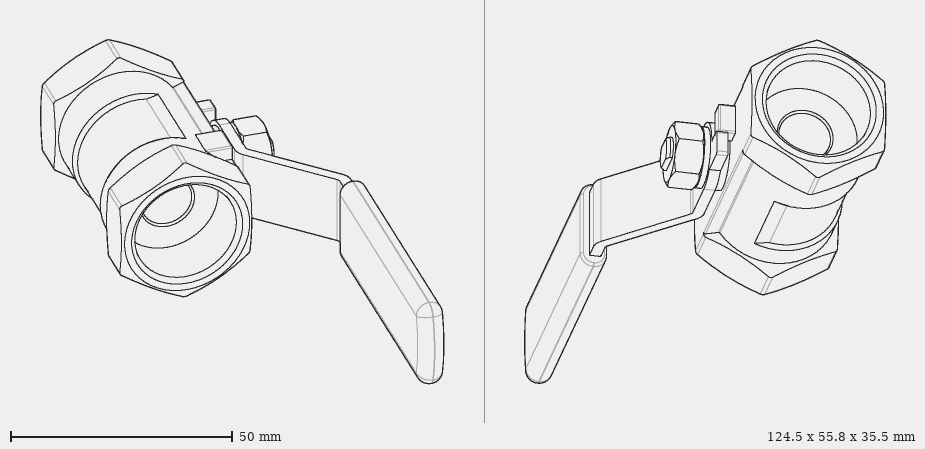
import cadquery as cq
import math


body_length = 59.0
hex_across_flats = 31.0
hex_length = 11.5
hex_corner_radius = 1.0
collar_diameter = 29.8
bevel_angle = 30.0

thread_diameter = 24.2
thread_depth = 14.3
mouth_chamfer = 1.1
bore_diameter = 12.0
bore_chamfer = 0.5

recess_depth = 0.9
recess_wall_run = 1.1
recess_start = -8.1
recess_end = 12.0
recess_edge_height = 13.8

pad_width = 16.9
boss_start = 7.7
boss_length = 7.7
boss_height = 11.8
cast_edge_radius = 0.4
stop_center = -10.3
stop_length = 4.2
stop_rise = 3.9
stop_bottom = 0.2
stop_top = 7.3

shoulder_diameter = 14.0
lever_gap = 1.9
washer_thickness = 1.4
nut_across_flats = 13.0
nut_height = 6.6
stem_diameter = 8.1
stem_flat_width = 5.2
stem_overhang = 1.4
stem_chamfer = 0.7

lever_thickness = 2.6
lever_width = 16.2
lever_rise = 18.3
lever_bend_start = 11.6
bend_angle = 45.0
bend_inner_radius = 1.2
tail_end = -13.2
tail_width = 6.0
tail_corner_radius = 0.6
grip_start = 35.6
lever_insertion = 6.2
grip_end = 95.0
grip_width = 21.0
grip_thickness = 6.1
grip_offset = 0.2
grip_end_radius = 31.1
grip_corner_radius = 3.0
grip_edge_radius = 3.0
grip_lip_radius = 0.6

half_body = body_length / 2
collar_radius = collar_diameter / 2
floor_radius = collar_radius - recess_depth
pad_top = hex_across_flats / 2
lever_bottom = pad_top + lever_gap
lever_top = lever_bottom + lever_thickness
lever_end = grip_start + lever_insertion
nut_bottom = lever_top + washer_thickness
nut_top = nut_bottom + nut_height
stem_top = nut_top + stem_overhang
grip_center_y = lever_bottom + lever_thickness / 2 + lever_rise + grip_offset


def block(x_min, x_max, y_min, y_max, z_min, z_max):
    """Box between the given limits."""
    size = (x_max - x_min, y_max - y_min, z_max - z_min)
    return cq.Workplane("XY").box(*size, centered=False).translate((x_min, y_min, z_min))


def cylinder_y(diameter, y_min, y_max):
    """Cylinder on the stem axis."""
    return cq.Workplane("XZ", origin=(0, y_min, 0)).circle(diameter / 2).extrude(y_min - y_max)


def revolve_x(points):
    """Solid of revolution about the pipe axis from (x, radius) points."""
    return cq.Workplane("XY").polyline(points).close().revolve(360, (0, 0, 0), (1, 0, 0))


def beveled_hexagon(across_flats, length, bevel_diameter, corner_radius=0):
    """Hexagonal prism on Z with corners toward X, both ends turned to a cone."""
    corner = across_flats / math.sqrt(3)
    prism = cq.Workplane("XY").polygon(6, 2 * corner).extrude(length)
    if corner_radius:
        prism = prism.edges("|Z").fillet(corner_radius)
    bevel_radius = bevel_diameter / 2
    bevel = (corner - bevel_radius) * math.tan(math.radians(bevel_angle))
    outline = [
        (0, 0),
        (bevel_radius, 0),
        (corner, bevel),
        (corner, length - bevel),
        (bevel_radius, length),
        (0, length),
    ]
    turned = cq.Workplane("XZ").polyline(outline).close().revolve(360, (0, 0, 0), (0, 1, 0))
    return prism.intersect(turned)


def end_hexagon(x_start):
    """Wrench hexagon of the housing, with flats toward +Y and -Y."""
    hexagon = beveled_hexagon(hex_across_flats, hex_length, collar_diameter, hex_corner_radius)
    return hexagon.rotate((0, 0, 0), (0, 1, 0), 90).translate((x_start, 0, 0))


def label_recess():
    """Ring cut with sloping end walls that leaves the stem side of the collar untouched."""
    outline = [
        (recess_start, collar_radius),
        (recess_start + recess_wall_run, floor_radius),
        (recess_end - recess_wall_run, floor_radius),
        (recess_end, collar_radius),
    ]
    ring = revolve_x(outline)
    uncut = block(recess_start, recess_end, 0, collar_radius, -recess_edge_height, recess_edge_height)
    return ring.cut(uncut)


def bores():
    """Stepped passage through the housing, the same from both ends."""
    thread_radius = thread_diameter / 2
    bore_radius = bore_diameter / 2
    step = half_body - thread_depth
    half_outline = [
        (half_body, thread_radius + mouth_chamfer),
        (half_body - mouth_chamfer, thread_radius),
        (step, thread_radius),
        (step, bore_radius + bore_chamfer),
        (step - bore_chamfer, bore_radius),
    ]
    mirrored = [(-x, radius) for x, radius in reversed(half_outline)]
    return revolve_x([(half_body, 0), *half_outline, *mirrored, (-half_body, 0)])


def collar_with_pad():
    """Round collar with a flat-topped pad and a side boss, blended together by small fillets."""
    half_length = half_body - hex_length / 2
    half_width = pad_width / 2
    collar = cq.Workplane("YZ", origin=(-half_length, 0, 0)).circle(collar_radius).extrude(2 * half_length)
    pad = block(-half_length, half_length, 0, pad_top, -half_width, half_width)
    pad = pad.edges(">Y and |X").fillet(cast_edge_radius)
    boss = block(boss_start, boss_start + boss_length, 0, pad_top, 0, boss_height)
    boss = boss.edges(">Y or (>Z and |Y)").fillet(cast_edge_radius)
    blended = collar.union(pad)
    pad_foot = math.sqrt(collar_radius**2 - half_width**2)
    for side in (-1, 1):
        foot = cq.selectors.NearestToPointSelector((0, pad_foot, side * half_width))
        blended = blended.edges(foot).fillet(cast_edge_radius)
    return blended.union(boss)


def stop_block():
    """Small block on the pad that limits the swing of the handle."""
    stop = block(
        stop_center - stop_length / 2,
        stop_center + stop_length / 2,
        pad_top,
        pad_top + stop_rise,
        stop_bottom,
        stop_top,
    )
    return stop.edges("|Y or >Y").fillet(cast_edge_radius)


def stem_bar(y_min, y_max):
    """Round bar with two flats facing +Z and -Z."""
    half_length = stem_diameter / 2
    half_flats = stem_flat_width / 2
    bar = block(-half_length, half_length, y_min, y_max, -half_flats, half_flats)
    return bar.intersect(cylinder_y(stem_diameter, y_min, y_max))


def stem():
    """Shoulder, flatted stem with a beveled tip, washer and nut."""
    shoulder = cylinder_y(shoulder_diameter, pad_top, lever_bottom)
    tip = cylinder_y(stem_diameter, lever_bottom, stem_top).faces(">Y").chamfer(stem_chamfer)
    bar = stem_bar(lever_bottom, stem_top).intersect(tip)
    washer = cylinder_y(shoulder_diameter, lever_top, nut_bottom)
    nut = beveled_hexagon(nut_across_flats, nut_height, nut_across_flats)
    nut = nut.rotate((0, 0, 0), (1, 0, 0), -90).translate((0, nut_bottom, 0))
    return shoulder.union(bar).union(washer).union(nut)


def build_housing():
    """Valve housing with its stem, washer and nut."""
    inner_face = half_body - hex_length
    housing = collar_with_pad().cut(label_recess())
    for x_start in (-half_body, inner_face):
        housing = housing.union(end_hexagon(x_start))
    housing = housing.union(stop_block()).cut(bores())
    return housing.union(stem())


def lever():
    """Bent strip with a rounded stem end and a tail beside the stop block."""
    miter = lever_thickness * math.tan(math.radians(bend_angle / 2))
    run = lever_rise / math.tan(math.radians(bend_angle))
    bend_end = lever_bend_start + run
    strip_outline = [
        (0, lever_bottom),
        (lever_bend_start + miter, lever_bottom),
        (bend_end + miter, lever_bottom + lever_rise),
        (lever_end, lever_bottom + lever_rise),
        (lever_end, lever_top + lever_rise),
        (bend_end, lever_top + lever_rise),
        (lever_bend_start, lever_top),
        (0, lever_top),
    ]
    half_width = lever_width / 2
    strip = cq.Workplane("XY", origin=(0, 0, -half_width))
    strip = strip.polyline(strip_outline).close().extrude(lever_width)
    bend_outer_radius = bend_inner_radius + lever_thickness
    for x, y, radius in (
        (lever_bend_start, lever_top, bend_inner_radius),
        (lever_bend_start + miter, lever_bottom, bend_outer_radius),
        (bend_end, lever_top + lever_rise, bend_outer_radius),
        (bend_end + miter, lever_bottom + lever_rise, bend_inner_radius),
    ):
        strip = strip.edges(cq.selectors.NearestToPointSelector((x, y, 0))).fillet(radius)
    stem_end = cylinder_y(lever_width, lever_bottom, lever_top)
    tail = block(tail_end, 0, lever_bottom, lever_top, -tail_width, 0)
    tail = tail.edges("|Y and <X").fillet(tail_corner_radius)
    return strip.union(stem_end).union(tail)


def grip():
    """Flat sleeve with rounded edges and a bowed far end."""
    half_width = grip_width / 2
    bow = grip_end_radius - math.sqrt(grip_end_radius**2 - half_width**2)
    sleeve = (
        cq.Workplane("XZ", origin=(0, grip_center_y + grip_thickness / 2, 0))
        .moveTo(grip_start, -half_width)
        .lineTo(grip_end - bow, -half_width)
        .threePointArc((grip_end, 0), (grip_end - bow, half_width))
        .lineTo(grip_start, half_width)
        .close()
        .extrude(grip_thickness)
    )
    far_corners = cq.selectors.BoxSelector(
        (grip_end - 2 * bow, 0, -grip_width), (grip_end, 2 * grip_center_y, grip_width)
    )
    sleeve = sleeve.edges("|Y").edges(far_corners).fillet(grip_corner_radius)
    sleeve = sleeve.faces("<Y or >Y").edges("not <X").fillet(grip_edge_radius)
    return sleeve.faces("<X").edges().fillet(grip_lip_radius)


def build_handle():
    """Lever and grip, with a flatted hole that fits the stem."""
    return lever().union(grip()).cut(stem_bar(lever_bottom, lever_top))


housing = build_housing()
handle = build_handle()

result = cq.Compound.makeCompound([housing.solids().val(), handle.solids().val()])